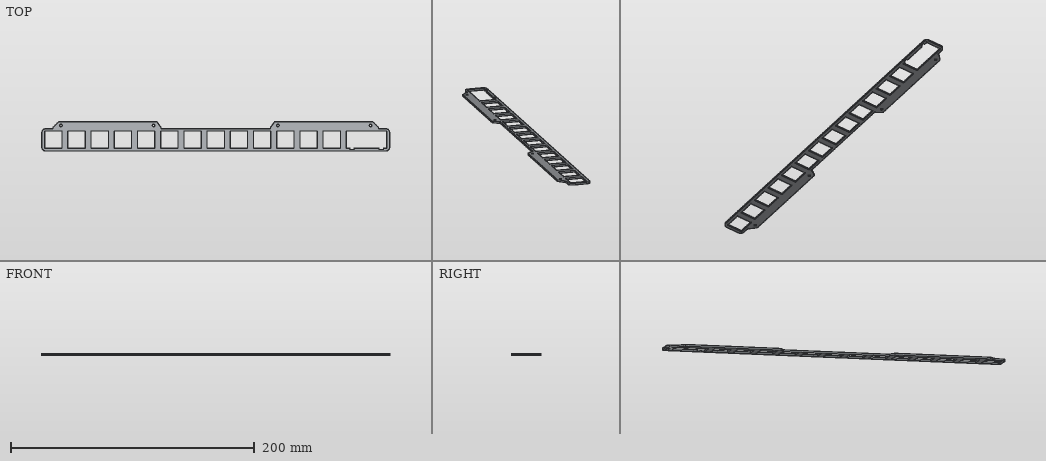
import cadquery as cq

length = 285.8
total_depth = 24.3
thickness = 1.5
cell_count = 15
pitch = length / cell_count
rail_depth = 18.5
corner_radius = 3.5

window_size = 14.0
window_front = 2.5
single_keys = cell_count - 2
wide_window_length = window_size + pitch

notch_offset = 12.0
notch_width = 3.5
notch_depth = 1.1

tab_base_start = 9.1
tab_base_end = 98.0
tab_step = 1.0
tab_outer_slant = 5.0
tab_inner_slant = 3.5

hole_diameter = 2.0
hole_start = 15.7
hole_spacing = 4 * pitch
hole_setback = 3.1


def box(x_center, y_front, x_size, y_size):
    """Plate-thick block located by its X centre and its front edge."""
    return (
        cq.Workplane("XY")
        .box(x_size, y_size, thickness, centered=(True, False, False))
        .translate((x_center, y_front, 0))
    )


def mounting_tab():
    """Left tab with slanted ends and two screw holes."""
    step_y = rail_depth + tab_step
    tab = (
        cq.Workplane("XY")
        .moveTo(tab_base_start, window_front + window_size)
        .lineTo(tab_base_start, step_y)
        .lineTo(tab_base_start + tab_outer_slant, total_depth)
        .lineTo(tab_base_end - tab_inner_slant, total_depth)
        .lineTo(tab_base_end, step_y)
        .lineTo(tab_base_end, window_front + window_size)
        .close()
        .extrude(thickness)
    )
    hole_y = total_depth - hole_setback
    holes = (
        cq.Workplane("XY")
        .pushPoints([(hole_start, hole_y), (hole_start + hole_spacing, hole_y)])
        .circle(hole_diameter / 2)
        .extrude(thickness)
    )
    return tab.cut(holes)


rail = box(length / 2, 0, length, rail_depth).edges("|Z").fillet(corner_radius)
left_tab = mounting_tab()
right_tab = left_tab.mirror("YZ").translate((length, 0, 0))
plate = rail.union(left_tab).union(right_tab)

for cell in range(single_keys):
    plate = plate.cut(box((cell + 0.5) * pitch, window_front, window_size, window_size))

wide_center = length - pitch
plate = plate.cut(box(wide_center, window_front, wide_window_length, window_size))
for side in (-1, 1):
    notch_x = wide_center + side * notch_offset
    plate = plate.cut(box(notch_x, window_front - notch_depth, notch_width, 2 * notch_depth))

result = plate.translate((-length / 2, -total_depth / 2, -thickness / 2))